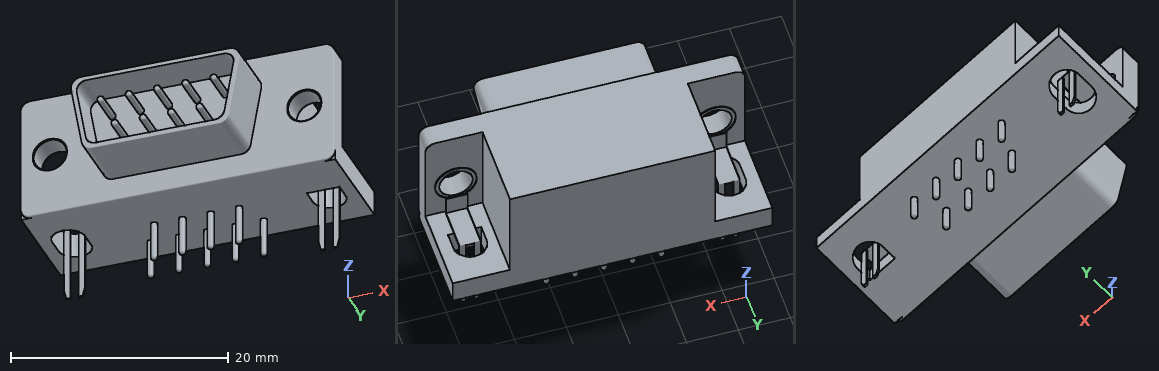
import cadquery as cq
import math


width = 30.8
height = 12.5
depth = 10.75
flange_back = 2.25
block_width = 19.77
foot_height = 2.5
corner_radius = 1.0
connector_z = height / 2

plate_thickness = 0.3
plate_edge_radius = 0.15

shell_length = 5.82
shell_width = 16.95
shell_height = 7.92
shell_wall = 0.5
shell_side_angle = 10.0
shell_rim_radius = 0.045
cavity_floor_y = -2.1

screw_x = 12.47
screw_hole_diameter = 3.2
screw_hole_edge_radius = 0.1
collar_diameter = 4.0
collar_thickness = 0.1

pin_diameter = 0.65
pin_pitch = 2.77
pin_row_spacing = 2.83
upper_row_count = 5
lower_row_count = 4
pin_tip_radius = 0.25
pin_tip_y = -5.55
tail_length = 3.88
pin_root = 0.62

board_lock_y = 6.62
slot_front_y = 5.02
slot_width = 3.2
strap_width = 2.05
strap_thickness = 0.2
strap_gap = 0.2
strap_top_z = 4.65
strap_bend_radius = 0.12
prong_width = 0.62
prong_thickness = 0.22
prong_length = 5.4
prong_taper_length = 0.9
prong_taper_inset = 0.22


def box(x_range, y_range, z_range):
    """Box given by its lower and upper limits along each axis."""
    sizes = [high - low for low, high in (x_range, y_range, z_range)]
    corner = (x_range[0], y_range[0], z_range[0])
    return cq.Workplane("XY").box(*sizes, centered=False).translate(corner)


def cylinder_y(x, z, diameter, y_start, y_end):
    """Cylinder along Y."""
    plane = cq.Workplane("XZ", origin=(x, y_start, z))
    return plane.circle(diameter / 2).extrude(y_start - y_end)


def make_housing():
    half = width / 2
    flange = box((-half, half), (plate_thickness, flange_back), (0, height))
    flange = flange.edges("|Y and >Z").fillet(corner_radius)
    foot = box((-half, half), (plate_thickness, depth), (0, foot_height))
    block = box((-block_width / 2, block_width / 2), (plate_thickness, depth), (0, height))
    return flange.union(foot).union(block)


def make_plate():
    plate = box((-width / 2, width / 2), (0, plate_thickness), (0, height))
    plate = plate.edges("|Y").fillet(corner_radius)
    return plate.faces("<Y").edges().fillet(plate_edge_radius)


def d_prism(inset, y_front, y_back):
    """Rounded trapezoid, widest at the top, with every side moved inwards by the inset."""
    angle = math.radians(shell_side_angle)
    side_inset = inset / math.cos(angle)
    half_height = shell_height / 2 - inset
    middle_half_width = shell_width / 2 - shell_height / 2 * math.tan(angle) - side_inset
    lean = half_height * math.tan(angle)
    top = middle_half_width + lean
    bottom = middle_half_width - lean
    corners = [(-top, half_height), (top, half_height), (bottom, -half_height), (-bottom, -half_height)]
    plane = cq.Workplane("XZ", origin=(0, y_back, connector_z))
    return plane.polyline(corners).close().extrude(y_back - y_front).edges("|Y").fillet(corner_radius)


def make_shell():
    shell = d_prism(0, -shell_length, plate_thickness)
    shell = shell.faces("<Y").edges().fillet(shell_rim_radius)
    return shell.cut(d_prism(shell_wall, -shell_length, cavity_floor_y))


def make_contact(x, row):
    """Straight front pin and downward tail; row is +1 for the upper row and -1 for the lower row."""
    pin_z = connector_z + row * pin_row_spacing / 2
    tail_y = board_lock_y + row * pin_row_spacing / 2
    pin = cylinder_y(x, pin_z, pin_diameter, pin_tip_y, cavity_floor_y + pin_root)
    pin = pin.faces("<Y").edges().fillet(pin_tip_radius)
    tail = cq.Workplane("XY", origin=(x, tail_y, pin_root)).circle(pin_diameter / 2)
    tail = tail.extrude(-tail_length - pin_root)
    tail = tail.faces("<Z").edges().fillet(pin_tip_radius)
    return pin.union(tail)


def make_screw_hole(x):
    hole = cylinder_y(x, connector_z, screw_hole_diameter, 0, flange_back + collar_thickness)
    hole_radius = screw_hole_diameter / 2
    edge = screw_hole_edge_radius
    mouth = (
        cq.Workplane("XY")
        .lineTo(hole_radius + edge, 0)
        .radiusArc((hole_radius, edge), -edge)
        .lineTo(0, edge)
        .close()
        .revolve(360, (0, 0, 0), (0, 1, 0))
        .translate((x, 0, connector_z))
    )
    return hole.union(mouth)


def make_foot_slot(side):
    """Slot with a round back end; its front end is round on the -X side and square on the +X side."""
    x = side * screw_x
    half = slot_width / 2
    slot = box((x - half, x + half), (slot_front_y, board_lock_y), (0, foot_height))
    end_centres = [board_lock_y]
    if side < 0:
        end_centres.append(slot_front_y)
    for y in end_centres:
        slot = slot.union(cq.Workplane("XY", origin=(x, y, 0)).circle(half).extrude(foot_height))
    return slot


def make_board_lock(x):
    """L-shaped strap lying on the foot, ending in two tapered prongs through the slot."""
    across = (x - strap_width / 2, x + strap_width / 2)
    strap_front = flange_back + strap_gap
    strap_back = board_lock_y + prong_thickness / 2
    strap_top = foot_height + strap_thickness
    upright = box(across, (strap_front, strap_front + strap_thickness), (foot_height, strap_top_z))
    strap = box(across, (strap_front, strap_back), (foot_height, strap_top))
    strap = strap.edges("|X and >Y and >Z").fillet(strap_bend_radius)
    lock = upright.union(strap)

    outer = strap_width / 2
    inner = outer - prong_width
    for side in (-1, 1):
        outline = [
            (side * inner, foot_height),
            (side * outer, foot_height),
            (side * outer, prong_taper_length - prong_length),
            (side * (outer - prong_taper_inset), -prong_length),
            (side * inner, -prong_length),
        ]
        plane = cq.Workplane("XZ", origin=(x, strap_back, 0))
        lock = lock.union(plane.polyline(outline).close().extrude(prong_thickness))
    return lock


result = make_housing().union(make_plate()).union(make_shell())

for side in (-1, 1):
    x = side * screw_x
    collar = cylinder_y(x, connector_z, collar_diameter, flange_back, flange_back + collar_thickness)
    result = result.union(collar)
    result = result.cut(make_foot_slot(side))
    result = result.union(make_board_lock(x))
    result = result.cut(make_screw_hole(x))

for row, count in ((1, upper_row_count), (-1, lower_row_count)):
    for index in range(count):
        result = result.union(make_contact((index - (count - 1) / 2) * pin_pitch, row))